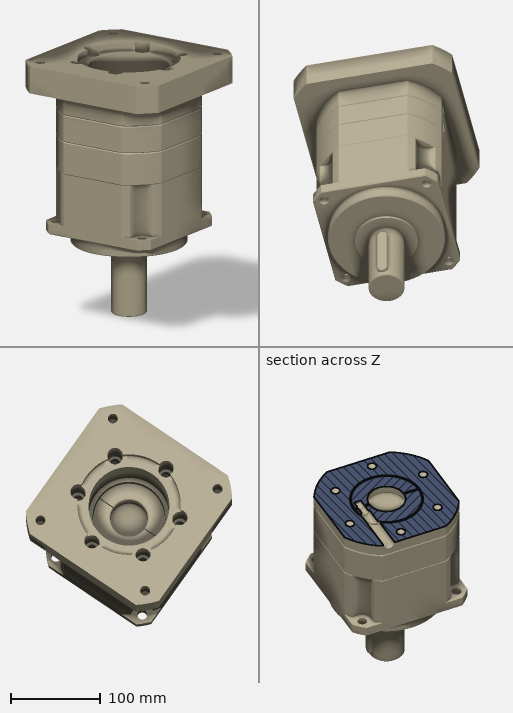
import cadquery as cq
import math

shaft_shoulder_z = 79.0
pilot_bottom_z = 82.0
flange_bottom_z = 97.0
flange_top_z = 109.0
output_housing_top_z = 169.5
gear_housing_top_z = 207.0
input_housing_top_z = 238.0
plate_bottom_z = 262.5
overall_height = 294.0

corner_count = 4
corner_angle = 45.0
body_width = 142.0
body_corner_radius = 81.0
flange_corner_radius = 92.5
plate_width = 180.0
plate_corner_radius = 115.0
joint_chamfer = 1.0

pilot_diameter = 130.0
shoulder_diameter = 70.0
shaft_diameter = 40.0
shaft_tip_chamfer = 1.0
flange_bolt_circle = 165.0
flange_hole_diameter = 11.0
pocket_radius = 11.0
pocket_edge_fillet = 2.0

key_width = 12.0
key_height = 8.0
key_length = 65.0
key_bottom_z = 5.0
key_protrusion = 3.5
key_chamfer = 1.0

motor_bolt_circle = 200.0
motor_hole_diameter = 11.0
motor_hole_depth = 25.0
recess_diameter = 115.0
recess_depth = 8.0
spigot_diameter = 100.0
spigot_length = 3.5
bore_diameter = 90.0
screw_count = 6
screw_first_angle = 50.0
screw_circle = 117.0
screw_head_diameter = 17.0
screw_head_depth = 40.0
screw_clearance_diameter = 11.0
screw_thread_diameter = 9.5
screw_thread_depth = 18.0
drill_point_angle = 118.0

hub_top_z = 230.0
hub_floor_z = 212.0
hub_diameter = 79.0
hub_seat_diameter = 81.0
hub_bore_diameter = 42.0
hub_bore_chamfer = 1.0
hub_slit_width = 1.0
access_hole_diameter = 13.0
access_hole_y = 31.0
adapter_access_z = 253.0
clamp_screw_z = 221.5
clamp_head_diameter = 11.0
clamp_head_seat_x = -10.0
clamp_thread_diameter = 8.0


def square_at(bottom_z, top_z, width, corner_radius):
    """Square prism whose corners are trimmed by a cylinder about the common axis."""
    height = top_z - bottom_z
    square = cq.Workplane("XY").workplane(offset=bottom_z).rect(width, width).extrude(height)
    return square.intersect(cylinder_at(bottom_z, top_z, 2 * corner_radius))


def cylinder_at(bottom_z, top_z, diameter, x=0.0, y=0.0):
    base = cq.Workplane("XY", origin=(x, y, bottom_z))
    return base.circle(diameter / 2).extrude(top_z - bottom_z)


def blind_drill(top_z, depth, diameter, x, y):
    """Drilled hole with a conical bottom; depth is that of the cylindrical part."""
    radius = diameter / 2
    point_height = radius / math.tan(math.radians(drill_point_angle / 2))
    profile = (
        cq.Workplane("XZ")
        .moveTo(0, top_z)
        .lineTo(radius, top_z)
        .lineTo(radius, top_z - depth)
        .lineTo(0, top_z - depth - point_height)
        .close()
    )
    return profile.revolve(360, (0, 0, 0), (0, 1, 0)).translate((x, y, 0))


def on_circle(circle_diameter, count, first_angle):
    """Points spread evenly round a bolt circle."""
    angles = [math.radians(first_angle + 360 / count * i) for i in range(count)]
    radius = circle_diameter / 2
    return [(radius * math.cos(a), radius * math.sin(a)) for a in angles]


def access_hole(z, diameter, end_x):
    """Cutter entering from the -X face and running along X to end_x."""
    start_x = -body_width / 2
    plane = cq.Workplane("YZ", origin=(start_x, access_hole_y, z))
    return plane.circle(diameter / 2).extrude(end_x - start_x)


spigot_bottom_z = input_housing_top_z - spigot_length
flange_bolt_offset = flange_bolt_circle / 2 * math.sqrt(0.5)
pocket_inner = flange_bolt_offset - pocket_radius
screw_points = on_circle(screw_circle, screw_count, screw_first_angle)


def make_adapter():
    neck = square_at(input_housing_top_z, plate_bottom_z, body_width, body_corner_radius)
    neck = neck.faces("<Z").chamfer(joint_chamfer)
    adapter = neck.union(square_at(plate_bottom_z, overall_height, plate_width, plate_corner_radius))
    adapter = adapter.union(cylinder_at(spigot_bottom_z, input_housing_top_z, spigot_diameter))
    adapter = adapter.cut(cylinder_at(overall_height - recess_depth, overall_height, recess_diameter))
    adapter = adapter.cut(cylinder_at(spigot_bottom_z, overall_height, bore_diameter))
    for x, y in on_circle(motor_bolt_circle, corner_count, corner_angle):
        adapter = adapter.cut(blind_drill(overall_height, motor_hole_depth, motor_hole_diameter, x, y))
    head_seat_z = overall_height - screw_head_depth
    for x, y in screw_points:
        adapter = adapter.cut(cylinder_at(head_seat_z, overall_height, screw_head_diameter, x, y))
        adapter = adapter.cut(cylinder_at(input_housing_top_z, head_seat_z, screw_clearance_diameter, x, y))
    return adapter.cut(access_hole(adapter_access_z, access_hole_diameter, 0))


def make_input_housing():
    housing = square_at(gear_housing_top_z, input_housing_top_z, body_width, body_corner_radius)
    housing = housing.faces("<Z or >Z").chamfer(joint_chamfer)
    housing = housing.cut(cylinder_at(spigot_bottom_z, input_housing_top_z, spigot_diameter))
    housing = housing.cut(cylinder_at(gear_housing_top_z, spigot_bottom_z, hub_seat_diameter))
    for x, y in screw_points:
        thread = blind_drill(input_housing_top_z, screw_thread_depth, screw_thread_diameter, x, y)
        housing = housing.cut(thread)
    return housing.cut(access_hole(clamp_screw_z, access_hole_diameter, 0))


def make_ring_housing():
    ring = square_at(output_housing_top_z, gear_housing_top_z, body_width, body_corner_radius)
    return ring.faces("<Z or >Z").chamfer(joint_chamfer)


def corner_pockets():
    """Clearance round the flange bolts: square notches with a rounded inner corner."""
    height = output_housing_top_z - flange_top_z
    notch_size = body_width / 2 - pocket_inner
    notch = (
        cq.Workplane("XY", origin=(pocket_inner, pocket_inner, flange_top_z))
        .rect(notch_size, notch_size, centered=False)
        .extrude(height)
        .edges("|Z and <X and <Y")
        .fillet(pocket_radius)
    )
    pockets = notch
    for turn in range(1, corner_count):
        pockets = pockets.union(notch.rotate((0, 0, 0), (0, 0, 1), 360 / corner_count * turn))
    return pockets


def round_pocket_edges(section):
    """Round the vertical edges where the pocket walls break through the rounded corners."""
    outer = math.sqrt(body_corner_radius**2 - pocket_inner**2)
    middle_z = (flange_top_z + output_housing_top_z) / 2
    edges = []
    for sx in (-1, 1):
        for sy in (-1, 1):
            for x, y in ((pocket_inner, outer), (outer, pocket_inner)):
                edges.append((sx * x, sy * y, middle_z))
    for point in edges:
        section = section.edges(cq.selectors.NearestToPointSelector(point)).fillet(pocket_edge_fillet)
    return section


def make_key():
    """Round-ended bar on the +Y side of the shaft."""
    outer_y = shaft_diameter / 2 + key_protrusion
    middle_z = key_bottom_z + key_length / 2
    plane = cq.Workplane("XZ", origin=(0, outer_y, middle_z))
    key = plane.slot2D(key_length, key_width, 90).extrude(key_height)
    return key.faces(">Y").chamfer(key_chamfer)


def make_output_housing():
    section = square_at(flange_top_z, output_housing_top_z, body_width, body_corner_radius)
    section = round_pocket_edges(section.cut(corner_pockets()))

    flange = square_at(flange_bottom_z, flange_top_z, body_width, flange_corner_radius)
    flange = flange.faces("<Z").chamfer(joint_chamfer)
    for x, y in on_circle(flange_bolt_circle, corner_count, corner_angle):
        flange = flange.cut(cylinder_at(flange_bottom_z, flange_top_z, flange_hole_diameter, x, y))

    pilot = cylinder_at(pilot_bottom_z, flange_bottom_z, pilot_diameter)
    pilot = pilot.faces("<Z").chamfer(joint_chamfer)
    shoulder = cylinder_at(shaft_shoulder_z, pilot_bottom_z, shoulder_diameter)
    shaft = cylinder_at(0, shaft_shoulder_z, shaft_diameter).faces("<Z").chamfer(shaft_tip_chamfer)

    housing = section.union(flange).union(pilot).union(shoulder).union(shaft)
    return housing.union(make_key())


def make_hub():
    hub = cylinder_at(gear_housing_top_z, hub_top_z, hub_diameter)
    bore = cylinder_at(hub_floor_z, hub_top_z, hub_bore_diameter)
    hub = hub.cut(bore)
    bore_rim = hub.faces(">Z").edges(cq.selectors.RadiusNthSelector(0))
    hub = bore_rim.chamfer(hub_bore_chamfer)
    slit = cq.Workplane("XY", origin=(0, 0, hub_floor_z)).rect(hub_slit_width, hub_diameter)
    hub = hub.cut(slit.extrude(hub_top_z - hub_floor_z))
    hub = hub.cut(access_hole(clamp_screw_z, clamp_head_diameter, clamp_head_seat_x))
    return hub.cut(access_hole(clamp_screw_z, clamp_thread_diameter, -clamp_head_seat_x))


adapter = make_adapter()
input_housing = make_input_housing()
ring_housing = make_ring_housing()
output_housing = make_output_housing()
hub = make_hub()

result = cq.Compound.makeCompound(
    [adapter.val(), input_housing.val(), ring_housing.val(), output_housing.val(), hub.val()]
)